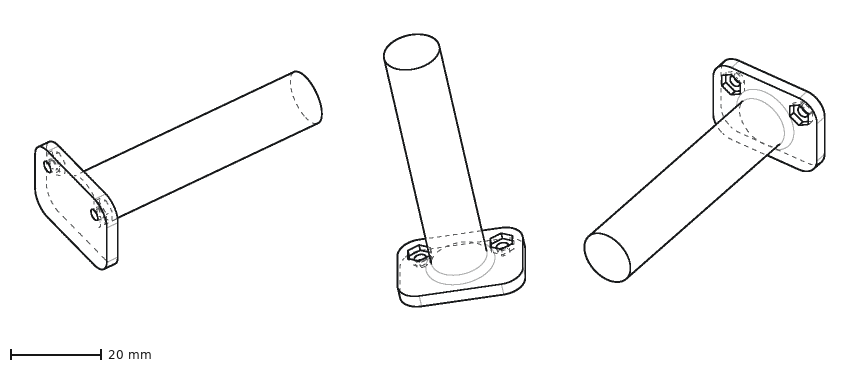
import cadquery as cq
import math


hole_diameter = 2.7
hole_spacing = 18.5
hole_height = 5.5
nut_across_flats = 5.0
nut_corner_radius = nut_across_flats / math.sqrt(3)
nut_pocket_depth = 1.5
nut_wall = 2.0

corner_radius = nut_corner_radius + nut_wall
plate_width = hole_spacing + 2 * corner_radius
plate_top = hole_height + corner_radius
plate_bottom = -10.0
plate_height = plate_top - plate_bottom
plate_thickness = 3.0

post_diameter = 12.6
post_length = 60.0
root_fillet = 1.5

hole_positions = [
    (-hole_spacing / 2, hole_height),
    (hole_spacing / 2, hole_height),
]


def make_plate():
    """Plate with four rounded corners."""
    return (
        cq.Workplane("XZ")
        .center(0, (plate_top + plate_bottom) / 2)
        .rect(plate_width, plate_height)
        .extrude(-plate_thickness)
        .edges("|Y")
        .fillet(corner_radius)
    )


def make_post():
    """Cylinder starting on the back face of the plate."""
    return (
        cq.Workplane("XZ", origin=(0, plate_thickness, 0))
        .circle(post_diameter / 2)
        .extrude(-post_length)
    )


def round_post_root(body):
    """Fillet the circle where the post meets the plate."""
    post_root = cq.selectors.NearestToPointSelector((0, plate_thickness, 0))
    return body.edges("%CIRCLE").edges(post_root).fillet(root_fillet)


def make_screw_holes():
    """Cutters for the screw holes, through the whole plate."""
    return (
        cq.Workplane("XZ")
        .pushPoints(hole_positions)
        .circle(hole_diameter / 2)
        .extrude(-plate_thickness)
    )


def make_nut_pockets():
    """Cutters for the nut pockets: open to the back face, hexagon corners at top and bottom."""
    pocket_floor = plate_thickness - nut_pocket_depth
    hexagon = cq.Sketch().regularPolygon(nut_corner_radius, 6)
    return (
        cq.Workplane("XZ", origin=(0, pocket_floor, 0))
        .pushPoints(hole_positions)
        .placeSketch(hexagon)
        .extrude(-nut_pocket_depth)
    )


body = make_plate().union(make_post())
body = round_post_root(body)
result = body.cut(make_screw_holes()).cut(make_nut_pockets())